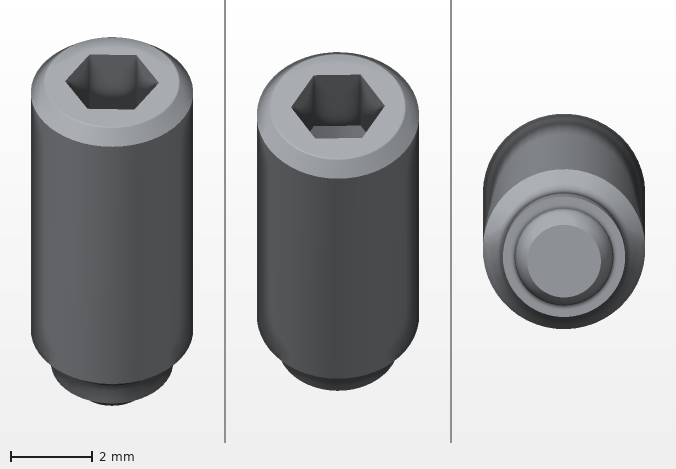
import cadquery as cq
import math

length = 9.9
body_radius = 2.0
nose_radius = 1.5
nose_bottom = 0.61
nose_height = 0.59
nose_top = nose_bottom + nose_height
bevel_top = nose_top + body_radius - nose_radius

top_chamfer = 0.35
top_edge_fillet = 0.08

hex_across_flats = 2.0
hex_depth = 2.0
drill_point_angle = 120.0

ball_radius = 1.24
ball_center_z = 0.84

hex_across_corners = hex_across_flats / math.cos(math.radians(30))
hex_corner_radius = hex_across_corners / 2
drill_point_height = hex_corner_radius / math.tan(math.radians(drill_point_angle / 2))
hex_floor = length - hex_depth


def make_full_ball():
    return cq.Workplane("XY").sphere(ball_radius).translate((0, 0, ball_center_z))


def make_ball():
    """Ball cut off flat at Z = 0."""
    keep_size = 2 * ball_radius
    upper_half_space = cq.Workplane("XY").box(
        keep_size, keep_size, keep_size, centered=(True, True, False)
    )
    return make_full_ball().intersect(upper_half_space)


def make_screw_blank():
    """Round body with a bevel, a reduced nose and a broken top edge."""
    blank = (
        cq.Workplane("XZ")
        .moveTo(0, nose_bottom)
        .lineTo(nose_radius, nose_bottom)
        .lineTo(nose_radius, nose_top)
        .lineTo(body_radius, bevel_top)
        .lineTo(body_radius, length - top_chamfer)
        .lineTo(body_radius - top_chamfer, length)
        .lineTo(0, length)
        .close()
        .revolve(360, (0, 0, 0), (0, 1, 0))
    )
    return blank.faces(">Z").edges().fillet(top_edge_fillet)


def make_hex_socket():
    """Hexagonal key recess with corners on X, ending in a drill point."""
    prism = (
        cq.Workplane("XY")
        .workplane(offset=hex_floor)
        .polygon(6, hex_across_corners)
        .extrude(hex_depth)
    )
    drill_point = (
        cq.Workplane("XZ")
        .moveTo(0, hex_floor)
        .lineTo(hex_corner_radius, hex_floor)
        .lineTo(0, hex_floor - drill_point_height)
        .close()
        .revolve(360, (0, 0, 0), (0, 1, 0))
    )
    return prism.union(drill_point)


def make_screw():
    """Screw with its key recess and a spherical seat fitting the ball."""
    return make_screw_blank().cut(make_hex_socket()).cut(make_full_ball())


screw = make_screw()
ball = make_ball()

result = cq.Compound.makeCompound([screw.solids().val(), ball.solids().val()])